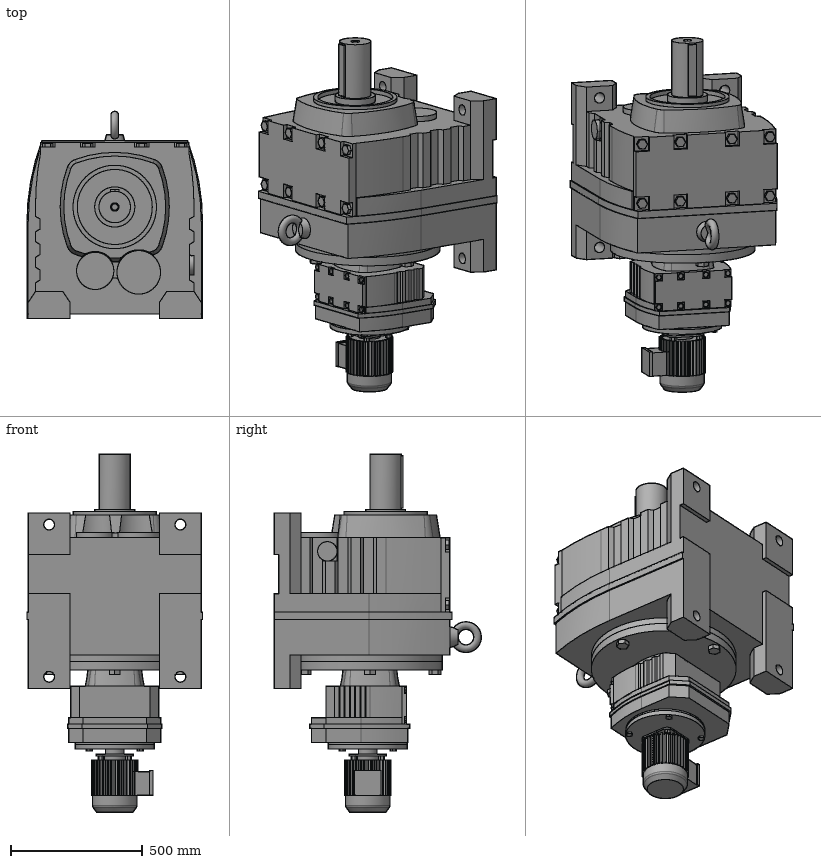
import cadquery as cq
import math


shaft_length = 210
ring_top = -8
boss_top = -21
cover_top = -88
housing_top = -108
rib_bottom = -321
joint_top = -392
joint_bottom = -420
housing_bottom = -555
adapter_bottom = -580
input_flange_bottom = -613
input_top = -674
input_rib_bottom = -794
input_joint_top = -818
input_joint_bottom = -835
input_bottom = -889
input_adapter_bottom = -896
motor_flange_bottom = -914
motor_neck_bottom = -933
fin_top = -955
fin_bottom = -1090
motor_bottom = -1155

input_axis_y = -60
motor_axis_y = -68

shaft_radius = 60
collar_radius = 76.5
ring_radius = 159
ring_inner_radius = 143
ring_floor = -24
key_width = 32
key_height = 7
key_end_gap = 5
centre_hole_radius = 12
centre_hole_depth = 50
centre_hole_mouth = 32
centre_hole_mouth_angle = 90

foot_half_span = 330
foot_inner = 170
foot_face_y = -425
front_face_y = -408
foot_back_y = -322
foot_corner_y = -364
foot_chamfer = 28
foot_top = -13
foot_height = 670
foot_notch_top = -173
foot_hole_x = 250
foot_hole_diameter = 40
foot_hole_end_margin = 45

upper_half_width = 302
upper_arc_start_y = 2
upper_arc_radius = 1100
upper_back_y = 211
lower_arc_start_y = -63
lower_arc_radius = 900
lower_back_y = 245
joint_half_width = 335
joint_back_y = 253
cover_plate_half_width = 282
cover_pocket_size = 54
cover_outer_bolt_x = cover_plate_half_width - cover_pocket_size / 2
cover_inner_bolt_x = 103
cover_bolt_width_ratio = 0.75
cover_bolt_height_ratio = 0.8

boss_half_width = 208
boss_taper_angle = 9.1
boss_corner_ratio = 0.827
boss_corner_radius = 50

small_cover = (-74.5, -243.5, 71)
large_cover = (91.5, -249, 83)
cover_clearance = 3
web_half_width = 40
web_front_y = -277
web_back_y = -210
web_drop = 3
web_arch_radius = 20
web_arch_y = -290

groove_count = 3
groove_first_y = -41
groove_pitch = 97
groove_depth = 18
groove_slope = 11

plug_y = -222
plug_z = -160
plug_radius = 37

adapter_radius = 276
eye_y = 306
eye_z = -487
eye_major_radius = 44
eye_minor_radius = 15
eye_foot_radius = 40
eye_neck_radius = 32
eye_neck_length = 31

input_half_width = 168
input_arc_start_y = -59
input_arc_radius = 500
input_back_y = 63
input_front_y = -228
input_front_chamfer = 34
input_cover_back_y = 80
input_cover_half_width = 152
input_pocket_size = 28
input_outer_bolt_x = input_cover_half_width - input_pocket_size / 2
input_inner_bolt_x = 50
input_lower_half_width = 176
input_lower_arc_start_y = -93
input_lower_arc_radius = 450
input_lower_front_y = -283
input_lower_back_y = 85
input_lower_chamfer = 55
input_joint_overhang = 7
input_boss_half_width = 113
input_boss_corner_radius = 38
input_bolt_circle_radius = 248
input_bolt_flats = 41
input_bolt_height = 17
input_groove_first_y = -76
input_groove_pitch = 40
input_groove_depth = 7
input_groove_slope = 4

motor_flange_radius = 151
motor_bolt_circle_radius = 138
motor_bolt_flats = 22
motor_bolt_height = 7
first_diagonal_angle = 45
motor_neck_radius = 36
bearing_flange_width = 142
bearing_flange_corner_radius = 25
bearing_flange_thickness = 7
bearing_neck_radius = 41
bearing_bolt_circle_radius = 74
bearing_bolt_flats = 20
fin_radius = 89
fin_root_radius = 76
fin_count = 36
fin_thickness = 5
fan_cover_radius = 85
fan_cover_cone_height = 22
fan_cover_cone_inset = 16
fan_cover_rim_fillet = 14
terminal_box_reach = 146
terminal_lid_thickness = 13
terminal_lid_overhang = 4
terminal_box_half_width = 46
terminal_box_top = -999


def block(x0, x1, y0, y1, z0, z1):
    """Box between opposite corner coordinates."""
    return cq.Workplane("XY").box(x1 - x0, y1 - y0, z1 - z0, centered=False).translate((x0, y0, z0))


def disc(radius, bottom, top, y=0, x=0):
    """Upright cylinder between two heights."""
    return cq.Workplane("XY", origin=(x, y, bottom)).circle(radius).extrude(top - bottom)


def hex_heads(flats, bottom, top, axis_y, circle_radius, first_angle):
    """Four hexagon bolt heads on a circle around an upright axis."""
    corners = flats / math.cos(math.pi / 6)
    return (
        cq.Workplane("XY", origin=(0, axis_y, bottom))
        .polarArray(circle_radius, first_angle, 360, 4)
        .polygon(6, corners)
        .extrude(top - bottom)
    )


def arc_point(half_width, arc_start_y, radius, y):
    """Point on the right-hand wall arc, which starts tangent to the straight wall."""
    return (half_width - radius + math.sqrt(radius**2 - (y - arc_start_y) ** 2), y)


def case_section(half_width, arc_start_y, radius, front_y, back_y, bottom, top, front_chamfer=0):
    """Gear case slab: straight side walls that curve inward toward the back."""
    mid_x, mid_y = arc_point(half_width, arc_start_y, radius, (arc_start_y + back_y) / 2)
    end_x, end_y = arc_point(half_width, arc_start_y, radius, back_y)
    slab = (
        cq.Workplane("XY", origin=(0, 0, bottom))
        .moveTo(half_width, front_y)
        .lineTo(half_width, arc_start_y)
        .threePointArc((mid_x, mid_y), (end_x, end_y))
        .lineTo(-end_x, end_y)
        .threePointArc((-mid_x, mid_y), (-half_width, arc_start_y))
        .lineTo(-half_width, front_y)
        .close()
        .extrude(top - bottom)
    )
    if front_chamfer:
        slab = slab.faces("<Y").edges("|Z").chamfer(front_chamfer)
    return slab


def side_grooves(half_width, first_y, pitch, depth, slope, bottom, top):
    """Upright grooves with sloped flanks in both side walls."""
    cutters = cq.Workplane("XY")
    half_slope = slope / 2
    for side in (-1, 1):
        for index in range(groove_count):
            back = first_y - index * pitch
            front = back - pitch / 2
            cutter = (
                cq.Workplane("XY", origin=(0, 0, bottom))
                .polyline([
                    (side * half_width, back + half_slope),
                    (side * (half_width - depth), back - half_slope),
                    (side * (half_width - depth), front + half_slope),
                    (side * half_width, front - half_slope),
                ])
                .close()
                .extrude(top - bottom)
            )
            cutters = cutters.add(cutter)
    return cutters.combine()


def bearing_boss(half_width, corner_radius, bottom, top, axis_y):
    """Boss with four bulging sides and rounded corners, tapering toward the top."""
    corner = boss_corner_ratio * half_width
    height = top - bottom
    straight_boss = (
        cq.Workplane("XY", origin=(0, axis_y, bottom))
        .moveTo(-corner, -corner)
        .threePointArc((0, -half_width), (corner, -corner))
        .threePointArc((half_width, 0), (corner, corner))
        .threePointArc((0, half_width), (-corner, corner))
        .threePointArc((-half_width, 0), (-corner, -corner))
        .close()
        .extrude(height)
        .edges("|Z")
        .fillet(corner_radius)
    )
    outline = straight_boss.faces("<Z").wires().val()
    base = cq.Workplane("XY", origin=(0, axis_y, bottom)).add(outline).toPending()
    return base.extrude(height, taper=boss_taper_angle)


def inspection_cover(half_width, wall_y, back_y, bottom, top, pocket_size, outer_bolt_x, inner_bolt_x):
    """Rear cover plate with bolt pockets along its top and bottom edges."""
    plate = block(-half_width, half_width, wall_y, back_y, bottom, top)
    pocket_depth = (back_y - wall_y) / 2
    pocket_floor = back_y - pocket_depth
    half_pocket = pocket_size / 2
    bolt_corners = cover_bolt_width_ratio * pocket_size
    head_height = cover_bolt_height_ratio * pocket_depth
    for z in (top - half_pocket, bottom + half_pocket):
        for x in (-outer_bolt_x, -inner_bolt_x, inner_bolt_x, outer_bolt_x):
            pocket = block(
                x - half_pocket, x + half_pocket, pocket_floor, back_y, z - half_pocket, z + half_pocket,
            )
            head = (
                cq.Workplane("XZ", origin=(x, pocket_floor, z))
                .polygon(6, bolt_corners)
                .extrude(-head_height)
            )
            plate = plate.cut(pocket).union(head)
    return plate


def output_shaft():
    """Shaft with collar, key and countersunk centre hole."""
    shaft = disc(shaft_radius, ring_floor, shaft_length).union(disc(collar_radius, ring_floor, 0))
    key = block(
        -key_width / 2, key_width / 2, 0, shaft_radius + key_height,
        key_end_gap, shaft_length - key_end_gap,
    )
    shaft_end = shaft.union(key).faces(">Z").workplane(origin=(0, 0, shaft_length))
    return shaft_end.cskHole(
        2 * centre_hole_radius, centre_hole_mouth, centre_hole_mouth_angle, centre_hole_depth,
    )


def foot(side):
    """Foot column with chamfered back corners, on the left (-1) or right (+1)."""
    outline = [
        (foot_inner, foot_face_y),
        (foot_half_span, foot_face_y),
        (foot_half_span, foot_corner_y),
        (foot_half_span - foot_chamfer, foot_back_y),
        (foot_inner + foot_chamfer, foot_back_y),
        (foot_inner, foot_corner_y),
    ]
    return (
        cq.Workplane("XY", origin=(0, 0, foot_top - foot_height))
        .polyline([(side * x, y) for x, y in outline])
        .close()
        .extrude(foot_height)
    )


def shaft_boss():
    """Bearing boss with its seal ring, cleared around the two round covers."""
    boss = bearing_boss(boss_half_width, boss_corner_radius, housing_top, boss_top, 0)
    for x, y, radius in (small_cover, large_cover):
        boss = boss.cut(disc(radius + cover_clearance, housing_top, boss_top, y, x))
    boss = boss.union(disc(ring_radius, boss_top, ring_top))
    return boss.cut(disc(ring_inner_radius, ring_floor, ring_top))


def round_covers():
    """Two round bore covers on the top face, joined by a low web with an arched front."""
    web_top = cover_top - web_drop
    web = block(-web_half_width, web_half_width, web_front_y, web_back_y, housing_top, web_top)
    web = web.cut(disc(web_arch_radius, housing_top, cover_top, web_arch_y))
    for x, y, radius in (small_cover, large_cover):
        web = web.union(disc(radius, housing_top, cover_top, y, x))
    return web


def eye_bolt():
    """Lifting eye on the back wall, its ring lying in the YZ plane."""
    neck = cq.Workplane(
        cq.Solid.makeCone(
            eye_foot_radius, eye_neck_radius, eye_neck_length,
            cq.Vector(0, lower_back_y, eye_z), cq.Vector(0, 1, 0),
        )
    )
    ring = cq.Workplane(
        cq.Solid.makeTorus(
            eye_major_radius, eye_minor_radius,
            cq.Vector(0, eye_y, eye_z), cq.Vector(1, 0, 0),
        )
    )
    return neck.union(ring)


def make_main_gearbox():
    upper = case_section(
        upper_half_width, upper_arc_start_y, upper_arc_radius,
        front_face_y, upper_back_y, rib_bottom, housing_top,
    )
    upper = upper.cut(side_grooves(
        upper_half_width, groove_first_y, groove_pitch, groove_depth, groove_slope,
        rib_bottom, housing_top,
    ))
    plug_seat_x = upper_half_width - groove_depth
    upper = upper.cut(block(
        plug_seat_x, upper_half_width, plug_y - plug_radius, plug_y + plug_radius,
        plug_z - plug_radius, housing_top,
    ))
    plug = cq.Workplane("YZ", origin=(plug_seat_x, plug_y, plug_z)).circle(plug_radius).extrude(groove_depth)

    middle = case_section(
        foot_half_span, lower_arc_start_y, lower_arc_radius,
        front_face_y, upper_back_y, joint_top, rib_bottom,
    )
    joint = case_section(
        joint_half_width, lower_arc_start_y, lower_arc_radius,
        foot_face_y, joint_back_y, joint_bottom, joint_top,
    )
    lower = case_section(
        foot_half_span, lower_arc_start_y, lower_arc_radius,
        foot_face_y, lower_back_y, housing_bottom, joint_bottom,
    )
    middle = middle.union(block(
        -foot_half_span, foot_half_span, foot_face_y, front_face_y, joint_top, rib_bottom,
    ))
    cover = inspection_cover(
        cover_plate_half_width, upper_back_y, lower_back_y, joint_top, housing_top,
        cover_pocket_size, cover_outer_bolt_x, cover_inner_bolt_x,
    )
    body = upper.union(plug).union(middle).union(joint).union(lower).union(cover)
    for side in (-1, 1):
        body = body.union(foot(side))

    front_recess = block(-foot_inner, foot_inner, foot_face_y, front_face_y, housing_bottom, housing_top)
    foot_notch = block(-foot_half_span, foot_half_span, foot_face_y, front_face_y, rib_bottom, foot_notch_top)
    hole_top = foot_top - foot_hole_end_margin
    hole_bottom = foot_top - foot_height + foot_hole_end_margin
    foot_holes = (
        cq.Workplane("XZ", origin=(0, foot_face_y, 0))
        .pushPoints([(x, z) for x in (-foot_hole_x, foot_hole_x) for z in (hole_top, hole_bottom)])
        .circle(foot_hole_diameter / 2)
        .extrude(foot_face_y - foot_back_y)
    )
    body = body.cut(front_recess).cut(foot_notch).cut(foot_holes)
    body = body.union(disc(adapter_radius, adapter_bottom, housing_bottom, input_axis_y))
    return body.union(shaft_boss()).union(round_covers()).union(output_shaft()).union(eye_bolt())


def make_input_gearbox():
    flange = disc(adapter_radius, input_flange_bottom, adapter_bottom, input_axis_y)
    heads = hex_heads(
        input_bolt_flats, input_flange_bottom - input_bolt_height, input_flange_bottom,
        input_axis_y, input_bolt_circle_radius, 0,
    )
    boss = bearing_boss(
        input_boss_half_width, input_boss_corner_radius, input_top, input_flange_bottom, input_axis_y,
    )
    upper = case_section(
        input_half_width, input_arc_start_y, input_arc_radius,
        input_front_y, input_back_y, input_rib_bottom, input_top, input_front_chamfer,
    )
    upper = upper.cut(side_grooves(
        input_half_width, input_groove_first_y, input_groove_pitch, input_groove_depth,
        input_groove_slope, input_rib_bottom, input_top,
    ))
    middle = case_section(
        input_lower_half_width, input_lower_arc_start_y, input_lower_arc_radius,
        input_lower_front_y, input_back_y, input_joint_top, input_rib_bottom, input_lower_chamfer,
    )
    joint = case_section(
        input_lower_half_width + input_joint_overhang / 2, input_lower_arc_start_y, input_lower_arc_radius,
        input_lower_front_y - input_joint_overhang, input_lower_back_y + input_joint_overhang,
        input_joint_bottom, input_joint_top, input_lower_chamfer,
    )
    lower = case_section(
        input_lower_half_width, input_lower_arc_start_y, input_lower_arc_radius,
        input_lower_front_y, input_lower_back_y, input_bottom, input_joint_bottom, input_lower_chamfer,
    )
    cover = inspection_cover(
        input_cover_half_width, input_back_y, input_cover_back_y, input_joint_top, input_top,
        input_pocket_size, input_outer_bolt_x, input_inner_bolt_x,
    )
    adapter = disc(motor_flange_radius, input_adapter_bottom, input_bottom, motor_axis_y)
    case = upper.union(middle).union(joint).union(lower).union(cover).union(adapter)
    return flange.union(heads).union(boss).union(case)


def make_motor():
    flange = disc(motor_flange_radius, motor_flange_bottom, input_adapter_bottom, motor_axis_y)
    flange_heads = hex_heads(
        motor_bolt_flats, motor_flange_bottom - motor_bolt_height, motor_flange_bottom,
        motor_axis_y, motor_bolt_circle_radius, first_diagonal_angle,
    )
    neck = disc(motor_neck_radius, motor_neck_bottom, motor_flange_bottom, motor_axis_y)
    bearing_flange_bottom = motor_neck_bottom - bearing_flange_thickness
    bearing_flange = (
        cq.Workplane("XY", origin=(0, motor_axis_y, bearing_flange_bottom))
        .rect(bearing_flange_width, bearing_flange_width)
        .extrude(bearing_flange_thickness)
        .edges("|Z")
        .fillet(bearing_flange_corner_radius)
    )
    bearing_neck = disc(bearing_neck_radius, fin_top, bearing_flange_bottom, motor_axis_y)
    bearing_heads = hex_heads(
        bearing_bolt_flats, fin_top, bearing_flange_bottom,
        motor_axis_y, bearing_bolt_circle_radius, first_diagonal_angle,
    )
    stator = disc(fin_root_radius, fin_bottom, fin_top, motor_axis_y)
    fin_inner = fin_root_radius - fin_thickness
    fins = (
        cq.Workplane("XY", origin=(0, motor_axis_y, fin_bottom))
        .polarArray((fin_radius + fin_inner) / 2, 0, 360, fin_count)
        .rect(fin_radius - fin_inner, fin_thickness)
        .extrude(fin_top - fin_bottom)
    )
    fan_cover = disc(fan_cover_radius, motor_bottom, fin_bottom, motor_axis_y)
    fan_cover = fan_cover.faces("<Z").edges().chamfer(fan_cover_cone_height, fan_cover_cone_inset)
    fan_cover = fan_cover.faces("%CONE").edges(">Z").fillet(fan_cover_rim_fillet)
    lid_x = terminal_box_reach - terminal_lid_thickness
    front = motor_axis_y - terminal_box_half_width
    back = motor_axis_y + terminal_box_half_width
    box = block(0, lid_x, front, back, fin_bottom, terminal_box_top)
    lid = block(
        lid_x, terminal_box_reach, front - terminal_lid_overhang, back + terminal_lid_overhang,
        fin_bottom, terminal_box_top + terminal_lid_overhang,
    )
    motor = flange.union(flange_heads).union(neck).union(bearing_flange).union(bearing_neck)
    return motor.union(bearing_heads).union(stator).union(fins).union(fan_cover).union(box).union(lid)


main_gearbox = make_main_gearbox()
input_gearbox = make_input_gearbox()
motor = make_motor()
result = cq.Compound.makeCompound([main_gearbox.val(), input_gearbox.val(), motor.val()])